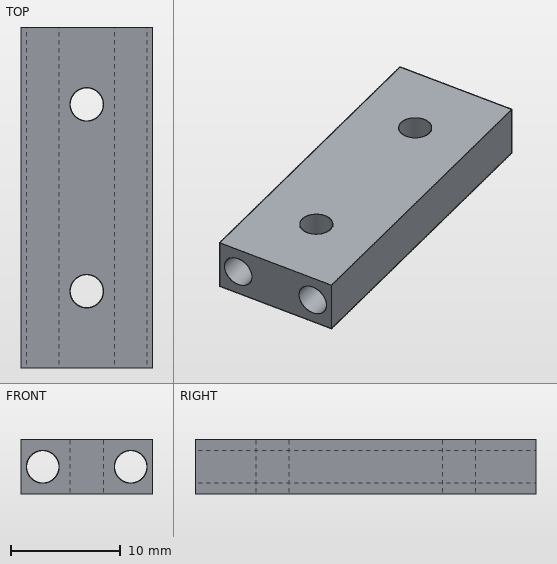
import cadquery as cq

width = 12.0
length = 31.0
height = 5.0

vertical_hole_diameter = 3.0
vertical_hole_spacing = 17.0

long_hole_diameter = 2.95
long_hole_spacing = 8.0

block = cq.Workplane("XY").box(width, length, height)

vertical_holes = (
    cq.Workplane("XY")
    .rarray(0.3, vertical_hole_spacing, 1, 2)
    .circle(vertical_hole_diameter / 2)
    .extrude(height / 2, both=True)
)

long_holes = (
    cq.Workplane("XZ")
    .rarray(long_hole_spacing, 0.3, 2, 1)
    .circle(long_hole_diameter / 2)
    .extrude(length / 2, both=True)
)

result = block.cut(vertical_holes).cut(long_holes)